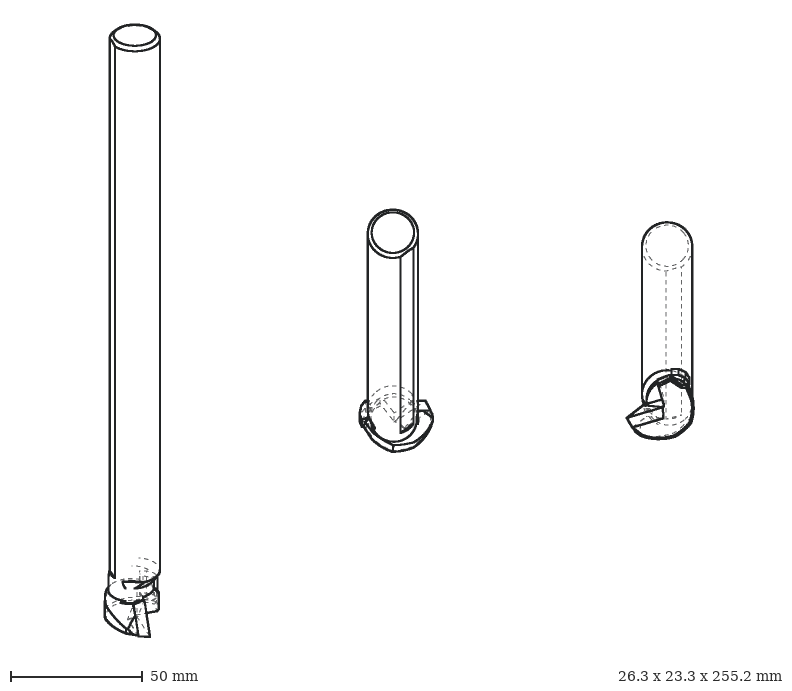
import cadquery as cq
import math

TOTAL_LENGTH = 255.2
SHANK_DIAMETER = 19.1
SHANK_RADIUS = SHANK_DIAMETER / 2
SHANK_BOTTOM = 20.7
END_CHAMFER = 1.5
FLAT_DEPTH = 0.5

NECK_RADIUS = 8.7
NECK_X = -0.5
NECK_Y = -1.3
NECK_TOP = 17.5
NECK_BOTTOM = 12.0

HEAD_LEFT = -10.2
HEAD_FRONT = -12.3
HEAD_OVERHEIGHT = 2.5
SHOULDER_RADIUS = 20.5
SHOULDER_ANGLE = 52.0
END_FACE_Z = 1.65
END_SLOPE = 3.0
END_BEVEL = 0.8
CUT_SIZE = 76.5

PAD_BOTTOM = 2.5
PAD_TOP = 13.5
PAD_BEVEL = 1.3

INSERT_SIDE = 14.3
INSERT_THICKNESS = 4.3
INSERT_RELIEF = 7.0
RAKE_Y = 0.5
TIP_X = 15.8
TIP_Z = 0.0
TRIANGLE_ANGLE = 60.0
FLANK_INSET = 0.65

GULLET_LEFT = 1.0
GULLET_TOP = 13.3
RELIEF_EDGE = (6.5, -7.0)
RELIEF_BACK = (9.5, 0.5)
RELIEF_BOTTOM = 11.2
RELIEF_TOP = 20.5
RUNOUT_HEIGHT = 4.5


def polar_step(point, length, angle):
    """Return the XZ point reached by moving a length at an angle in degrees."""
    radians = math.radians(angle)
    return (point[0] + length * math.cos(radians), point[1] + length * math.sin(radians))


def cylinder(radius, bottom, top, x=0, y=0):
    return cq.Workplane("XY", origin=(x, y, bottom)).circle(radius).extrude(top - bottom)


def make_shank():
    shank = cylinder(SHANK_RADIUS, SHANK_BOTTOM, TOTAL_LENGTH)
    flat = cq.Workplane("XY").box(
        2 * SHANK_RADIUS, 2 * SHANK_RADIUS, 2 * TOTAL_LENGTH
    ).translate((0, FLAT_DEPTH - 2 * SHANK_RADIUS, 0))
    return shank.faces(">Z").chamfer(END_CHAMFER).cut(flat)


def make_neck():
    taper = (
        cq.Workplane("XY", origin=(0, 0, SHANK_BOTTOM))
        .circle(SHANK_RADIUS)
        .workplane(offset=NECK_TOP - SHANK_BOTTOM)
        .center(NECK_X, NECK_Y)
        .circle(NECK_RADIUS)
        .loft()
    )
    return taper.union(cylinder(NECK_RADIUS, NECK_BOTTOM, NECK_TOP, NECK_X, NECK_Y))


def make_shoulder():
    """Solid of revolution that bounds the head from above."""
    drop = (SHOULDER_RADIUS - NECK_RADIUS) * math.tan(math.radians(SHOULDER_ANGLE))
    shoulder_edge = NECK_BOTTOM - drop
    profile = [
        (0, shoulder_edge - CUT_SIZE),
        (SHOULDER_RADIUS, shoulder_edge - CUT_SIZE),
        (SHOULDER_RADIUS, shoulder_edge),
        (NECK_RADIUS, NECK_BOTTOM),
        (0, NECK_BOTTOM),
    ]
    cone = cq.Workplane("XZ").polyline(profile).close().revolve(360, (0, 0), (0, 1))
    return cone.translate((NECK_X, NECK_Y, 0))


def make_head():
    outline = (
        cq.Workplane("XY")
        .moveTo(HEAD_LEFT, 0)
        .threePointArc((-9.2, -4.5), (-7.0, -9.0))
        .threePointArc((-3.3, -11.0), (0.5, HEAD_FRONT))
        .threePointArc((7.1, -11.2), (12.8, -8.2))
        .lineTo(TIP_X, RAKE_Y - INSERT_THICKNESS)
        .lineTo(TIP_X, RAKE_Y)
        .lineTo(10.5, 1.5)
        .lineTo(5.0, 8.7)
        .lineTo(-4.3, 10.2)
        .lineTo(-7.7, 6.0)
        .lineTo(-9.7, 5.5)
        .close()
    )
    blank = outline.extrude(NECK_BOTTOM + HEAD_OVERHEIGHT).faces("<Z").chamfer(END_BEVEL)
    blank = blank.rotate((0, 0, 0), (0, 1, 0), END_SLOPE).translate((0, 0, END_FACE_Z))
    return blank.intersect(make_shoulder())


def make_pad():
    outline = [(-4.8, 11.0), (-4.3, 8.5), (-6.6, 5.5), (-8.5, 5.0), (-10.5, 5.5), (-9.7, 8.2), (-7.5, 10.2)]
    pad = cq.Workplane("XY", origin=(0, 0, PAD_BOTTOM)).polyline(outline).close()
    pad = pad.extrude(PAD_TOP - PAD_BOTTOM)
    return pad.faces("<Z").chamfer(PAD_BEVEL)


def make_insert():
    tip = (TIP_X, TIP_Z)
    lower_corner = polar_step(tip, INSERT_SIDE, 180 - END_SLOPE)
    upper_corner = polar_step(tip, INSERT_SIDE, 180 - END_SLOPE - TRIANGLE_ANGLE)
    return (
        cq.Workplane("XZ", origin=(0, RAKE_Y, 0))
        .polyline([tip, upper_corner, lower_corner])
        .close()
        .extrude(INSERT_THICKNESS, taper=INSERT_RELIEF)
    )


def make_flank_cut():
    """Material beyond a plane set just inside the insert's upper cutting edge."""
    angle = 180 - END_SLOPE - TRIANGLE_ANGLE
    edge = (TIP_X - FLANK_INSET, TIP_Z)
    low = polar_step(edge, -CUT_SIZE, angle)
    high = polar_step(edge, CUT_SIZE, angle)
    return (
        cq.Workplane("XZ")
        .polyline([low, high, (high[0] + 2 * CUT_SIZE, high[1]), (low[0] + 2 * CUT_SIZE, low[1])])
        .close()
        .extrude(CUT_SIZE, both=True)
    )


def make_gullet():
    """Space in front of the rake face."""
    return cq.Workplane("XY").box(CUT_SIZE, CUT_SIZE, CUT_SIZE, centered=False).translate(
        (GULLET_LEFT, RAKE_Y, GULLET_TOP - CUT_SIZE)
    )


def make_relief():
    """Slanting flat on the shank and neck, sloping outwards at its upper end."""
    run_x = RELIEF_BACK[0] - RELIEF_EDGE[0]
    run_y = RELIEF_BACK[1] - RELIEF_EDGE[1]
    plane = cq.Plane(
        origin=(RELIEF_EDGE[0], RELIEF_EDGE[1], 0),
        xDir=(run_y, -run_x, 0),
        normal=(-run_x, -run_y, 0),
    )
    profile = [
        (0, RELIEF_BOTTOM),
        (0, RELIEF_TOP),
        (RUNOUT_HEIGHT, RELIEF_TOP + RUNOUT_HEIGHT),
        (CUT_SIZE, RELIEF_TOP + RUNOUT_HEIGHT),
        (CUT_SIZE, RELIEF_BOTTOM),
    ]
    return cq.Workplane(plane).polyline(profile).close().extrude(CUT_SIZE, both=True)


def make_holder(insert):
    shaped_head = make_head().cut(make_flank_cut())
    holder = make_shank().union(make_neck()).union(shaped_head).union(make_pad())
    return holder.cut(make_gullet()).cut(make_relief()).cut(insert)


insert = make_insert()
holder = make_holder(insert)

result = cq.Compound.makeCompound([holder.val(), insert.val()])